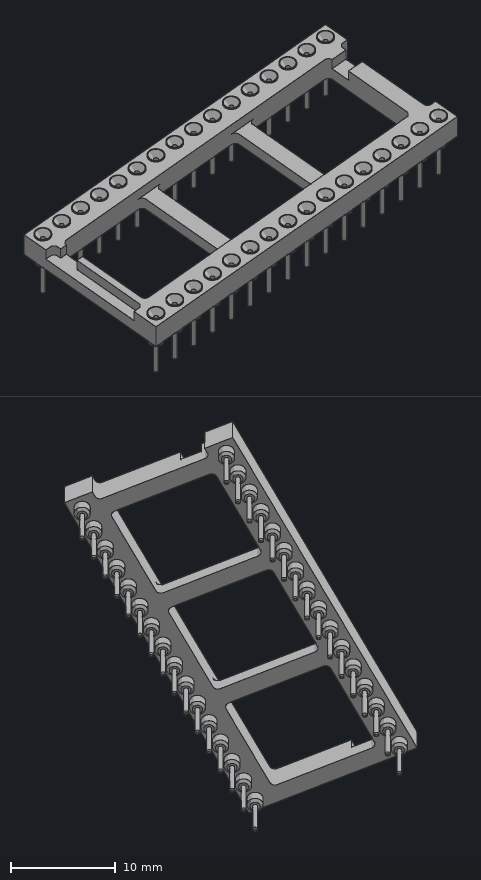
import cadquery as cq

LENGTH = 40.65
WIDTH = 17.8
FRAME_HEIGHT = 2.65
RAIL_WIDTH = 3.37
BAR_WIDTH = 1.85
WINDOW_COUNT = 3
WINDOW_RADIUS = 0.53

RECESS_DEPTH = 1.1
RECESS_INSET = 2.95
RECESS_RADIUS = 0.5
LEDGE_HEIGHT = 1.42
KEY_GAP_OFFSET = 3.85
KEY_GAP_WIDTH = 2.2
CROSS_BAR_HEIGHT = 1.4

CONTACTS_PER_ROW = 16
PITCH = 2.54
ROW_SPACING = 15.25
COLLAR_DIAMETER = 1.7
COLLAR_HEIGHT = 0.12
SLEEVE_DIAMETER = 1.55
SLEEVE_LENGTH = 0.98
TAPER_LENGTH = 0.25
TAPER_END_DIAMETER = 0.98
PIN_DIAMETER = 0.5
PIN_TIP_CHAMFER = 0.12
OVERALL_HEIGHT = 7.8
MOUTH_DIAMETER = 1.55
MOUTH_DEPTH = 0.6
BORE_DIAMETER = 0.5
BORE_DEPTH = 2.05

WINDOW_WIDTH = WIDTH - 2 * RAIL_WIDTH
BAR_COUNT = WINDOW_COUNT + 1
WINDOW_LENGTH = (LENGTH - RECESS_DEPTH - BAR_COUNT * BAR_WIDTH) / WINDOW_COUNT
WINDOW_STEP = WINDOW_LENGTH + BAR_WIDTH
RECESS_WIDTH = WIDTH - 2 * RECESS_INSET
FRONT_Y = -LENGTH / 2
BACK_Y = LENGTH / 2
CONTACT_TOP = FRAME_HEIGHT + COLLAR_HEIGHT
PIN_BOTTOM = CONTACT_TOP - OVERALL_HEIGHT


def block(x_size, y_size, z_bottom, z_top, x_center, y_center):
    """Box given by its plan size, plan centre and height range."""
    base = cq.Workplane("XY", origin=(x_center, y_center, z_bottom))
    return base.rect(x_size, y_size).extrude(z_top - z_bottom)


def make_frame():
    frame = block(WIDTH, LENGTH, 0, FRAME_HEIGHT, 0, 0)

    first_window_y = FRONT_Y + BAR_WIDTH + WINDOW_LENGTH / 2
    for index in range(WINDOW_COUNT):
        window_y = first_window_y + index * WINDOW_STEP
        window = block(WINDOW_WIDTH, WINDOW_LENGTH, 0, FRAME_HEIGHT, 0, window_y)
        frame = frame.cut(window.edges("|Z").fillet(WINDOW_RADIUS))

    for index in range(1, WINDOW_COUNT):
        bar_y = FRONT_Y + BAR_WIDTH / 2 + index * WINDOW_STEP
        bar_relief_length = BAR_WIDTH + 2 * WINDOW_RADIUS
        frame = frame.cut(
            block(WINDOW_WIDTH, bar_relief_length, CROSS_BAR_HEIGHT, FRAME_HEIGHT, 0, bar_y)
        )

    back_recess = block(RECESS_WIDTH, 2 * RECESS_DEPTH, 0, FRAME_HEIGHT, 0, BACK_Y)
    front_recess = block(RECESS_WIDTH, 2 * RECESS_DEPTH, LEDGE_HEIGHT, FRAME_HEIGHT, 0, FRONT_Y)
    for recess in (back_recess, front_recess):
        frame = frame.cut(recess.edges("|Z").fillet(RECESS_RADIUS))

    key_gap_x = -WIDTH / 2 + KEY_GAP_OFFSET + KEY_GAP_WIDTH / 2
    return frame.cut(block(KEY_GAP_WIDTH, LENGTH, LEDGE_HEIGHT, FRAME_HEIGHT, key_gap_x, 0))


def make_contact():
    """Turned contact on the Z axis: collar, sleeve, pin and funnel-shaped socket."""
    taper_top = -SLEEVE_LENGTH
    taper_bottom = taper_top - TAPER_LENGTH
    profile = [
        (0, PIN_BOTTOM),
        (PIN_DIAMETER / 2 - PIN_TIP_CHAMFER, PIN_BOTTOM),
        (PIN_DIAMETER / 2, PIN_BOTTOM + PIN_TIP_CHAMFER),
        (PIN_DIAMETER / 2, taper_bottom),
        (TAPER_END_DIAMETER / 2, taper_bottom),
        (SLEEVE_DIAMETER / 2, taper_top),
        (SLEEVE_DIAMETER / 2, FRAME_HEIGHT),
        (COLLAR_DIAMETER / 2, FRAME_HEIGHT),
        (COLLAR_DIAMETER / 2, CONTACT_TOP),
        (MOUTH_DIAMETER / 2, CONTACT_TOP),
        (BORE_DIAMETER / 2, CONTACT_TOP - MOUTH_DEPTH),
        (BORE_DIAMETER / 2, CONTACT_TOP - BORE_DEPTH),
        (0, CONTACT_TOP - BORE_DEPTH),
    ]
    return cq.Workplane("XZ").polyline(profile).close().revolve(360, (0, 0), (0, 1))


contact_places = cq.Workplane("XY").rarray(ROW_SPACING, PITCH, 2, CONTACTS_PER_ROW)
contact_holes = contact_places.circle(SLEEVE_DIAMETER / 2).extrude(FRAME_HEIGHT)
contact_shape = make_contact().val()
contacts = contact_places.eachpoint(lambda place: contact_shape.moved(place))

result = make_frame().cut(contact_holes).union(contacts)